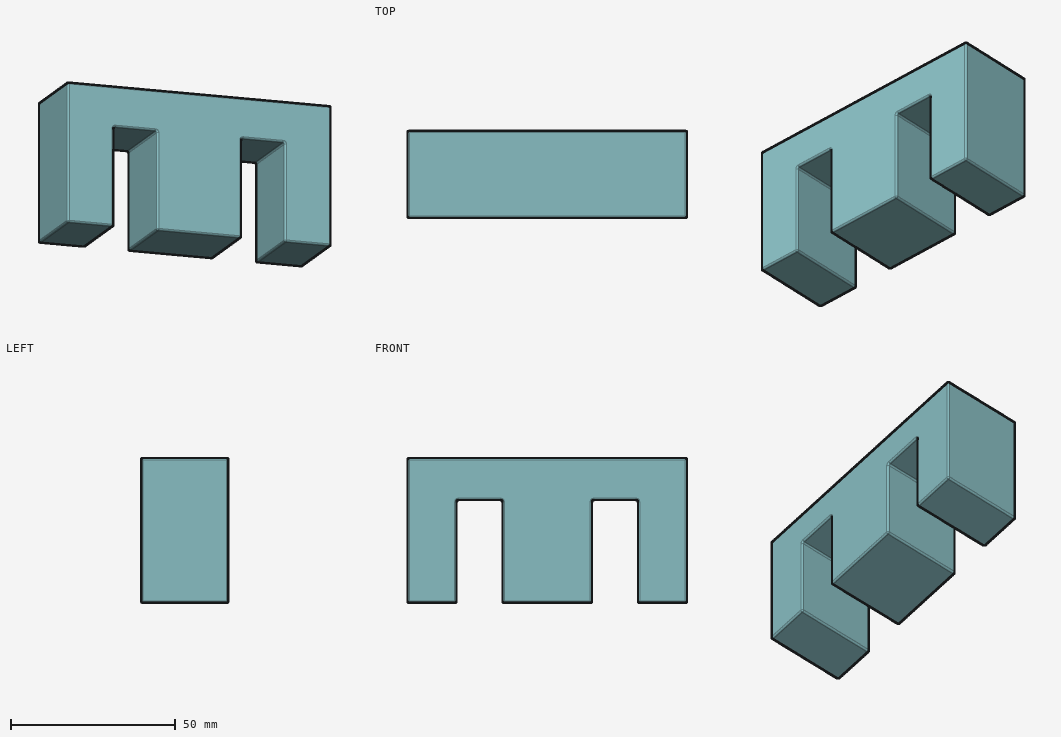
import cadquery as cq

length = 85.0
depth = 26.5
height = 44.0

slot_width = 13.85
slot_height = 31.2
center_leg_width = 27.3
slot_corner_radius = 0.5
edge_radius = 0.6

slot_offset = (center_leg_width + slot_width) / 2
bottom = -height / 2


def winding_slot(center_x):
    """Slot cutter through the full depth, with rounded upper corners."""
    cutter = cq.Workplane("XY").box(slot_width, depth, slot_height, centered=(True, True, False))
    cutter = cutter.edges("|Y and >Z").fillet(slot_corner_radius)
    return cutter.translate((center_x, 0, bottom))


core = cq.Workplane("XY").box(length, depth, height)
for side in (-1, 1):
    core = core.cut(winding_slot(side * slot_offset))

rounded_edges = core.faces("<Y or >Y or <Z or >Z or <X or >X").edges()
result = rounded_edges.fillet(edge_radius)